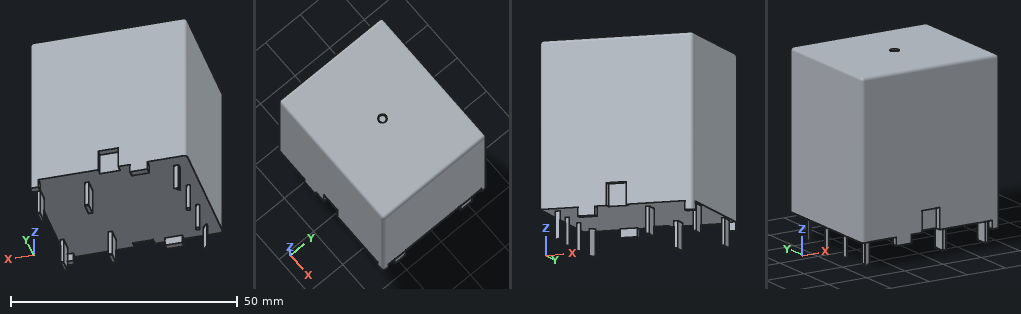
import cadquery as cq

case_length = 36.0
case_width = 30.05
total_height = 44.3
pin_length = 6.3
case_height = total_height - pin_length
edge_radius = 0.8

vent_diameter = 2.0
vent_depth = 0.35
vent_taper = 20.0

notch_width = 4.6
notch_height = 5.1
notch_depth = 1.5

foot_height = 2.0
foot_depth = 1.5
corner_foot_length = 2.0
side_foot_length = 4.0
side_foot_x = -7.0

round_pin_diameter = 0.9
round_pin_x = -15.3
round_pin_y = 3.8
corner_pin_leg = 1.15
corner_pin_left_x = -15.32
corner_pin_outer_y = 12.05
corner_clip = 0.1
blade_inner_y = 7.95
blade_width = 3.28
blade_x_and_thickness = [(6.0, 0.9), (17.0, 0.7)]
tip_chamfer = 0.18


def make_block():
    """Case plus the layer the feet are cut from, so corner feet share the rounded corners."""
    return (
        cq.Workplane("XY")
        .workplane(offset=-foot_height)
        .rect(case_length, case_width)
        .extrude(case_height + foot_height)
        .edges("|Z or >Z")
        .fillet(edge_radius)
    )


def make_box(x, y, length, width, bottom, top):
    """Upright box centred at (x, y) between two heights."""
    return cq.Workplane("XY").workplane(offset=bottom).center(x, y).rect(length, width).extrude(top - bottom)


def make_case():
    block = make_block()
    body_zone = make_box(0, 0, case_length, case_width, 0, case_height)
    case = block.intersect(body_zone)
    foot_x_and_length = [
        (side_foot_x, side_foot_length),
        ((case_length - corner_foot_length) / 2, corner_foot_length),
    ]
    wall_y = (case_width - foot_depth) / 2
    for side in (-1, 1):
        for x, length in foot_x_and_length:
            foot_zone = make_box(x, side * wall_y, length, foot_depth, -foot_height, 0)
            case = case.union(block.intersect(foot_zone))
    return case


def cut_notches(case):
    notch_y = (case_width - notch_depth) / 2
    for side in (-1, 1):
        case = case.cut(make_box(0, side * notch_y, notch_width, notch_depth, 0, notch_height))
    return case


def cut_vent(case):
    dimple = (
        cq.Workplane("XY")
        .workplane(offset=case_height)
        .circle(vent_diameter / 2)
        .extrude(-vent_depth, taper=vent_taper)
    )
    return case.cut(dimple)


def make_blade(x, side, thickness):
    """Flat terminal whose two narrow ends are chamfered at the tip."""
    y = blade_inner_y + blade_width / 2
    blade = make_box(x, side * y, thickness, blade_width, -pin_length, 0)
    return blade.faces("<Z").edges("|X").chamfer(tip_chamfer)


def make_corner_pin(side):
    """Triangular terminal with its right angle clipped and its slanted face chamfered at the tip."""
    left = corner_pin_left_x
    outer = corner_pin_outer_y
    section = [
        (left, outer - corner_clip),
        (left, outer - corner_pin_leg),
        (left + corner_pin_leg, outer),
        (left + corner_clip, outer),
    ]
    pin = (
        cq.Workplane("XY")
        .polyline([(x, side * y) for x, y in section])
        .close()
        .extrude(-pin_length)
    )
    slant_midpoint = (left + corner_pin_leg / 2, side * (outer - corner_pin_leg / 2), -pin_length)
    slant_edge = cq.selectors.NearestToPointSelector(slant_midpoint)
    return pin.faces("<Z").edges(slant_edge).chamfer(tip_chamfer)


def make_round_pin(side):
    return (
        cq.Workplane("XY")
        .center(round_pin_x, side * round_pin_y)
        .circle(round_pin_diameter / 2)
        .extrude(-pin_length)
    )


def add_pins(case):
    for side in (-1, 1):
        for x, thickness in blade_x_and_thickness:
            case = case.union(make_blade(x, side, thickness))
        case = case.union(make_corner_pin(side))
        case = case.union(make_round_pin(side))
    return case


result = add_pins(cut_vent(cut_notches(make_case())))